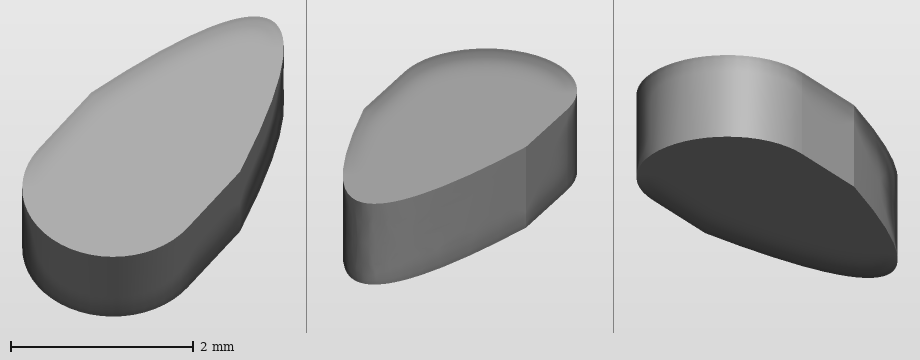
import cadquery as cq

length = 4.0
width = 2.0
thickness = 1.0
straight_length = 1.0

half_width = width / 2
tip_y = length - half_width
nose_height = tip_y - straight_length

nose_control_y = straight_length + 2 * nose_height


def teardrop_outline():
    """Semicircular end, two straight sides and a parabolic nose."""
    return (
        cq.Workplane("XY")
        .moveTo(-half_width, 0)
        .threePointArc((0, -half_width), (half_width, 0))
        .lineTo(half_width, straight_length)
        .bezier(
            [(0, nose_control_y), (-half_width, straight_length)],
            includeCurrent=True,
        )
        .close()
    )


result = teardrop_outline().extrude(thickness)